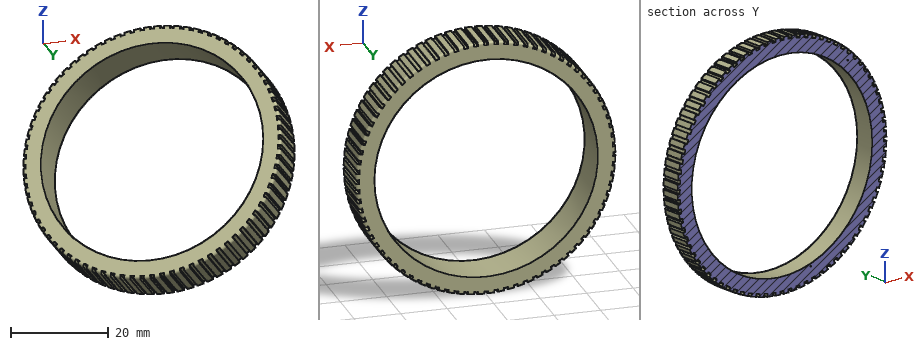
import cadquery as cq

outer_diameter = 55.85
root_diameter = 54.6
bore_diameter = 48.05
width = 9.65

tooth_count = 80
groove_width = 0.85
end_round = 0.5

outer_radius = outer_diameter / 2
root_radius = root_diameter / 2
bore_radius = bore_diameter / 2
tooth_height = outer_radius - root_radius
half_width = width / 2


def rim_blank():
    """Ring reaching the tooth tips, with both outer corners rounded over."""
    flat_radius = outer_radius - end_round
    flat_half_width = half_width - end_round
    profile = (
        cq.Workplane("XY")
        .moveTo(bore_radius, -half_width)
        .lineTo(flat_radius, -half_width)
        .radiusArc((outer_radius, -flat_half_width), -end_round)
        .lineTo(outer_radius, flat_half_width)
        .radiusArc((flat_radius, half_width), -end_round)
        .lineTo(bore_radius, half_width)
        .close()
    )
    return profile.revolve(360, (0, 0, 0), (0, 1, 0))


def groove_cutters():
    """Parallel-sided bars between the teeth, trimmed to the round root of the grooves."""
    bar_height = 3 * tooth_height
    bar_length = 2 * width
    end_plane = cq.Workplane("XZ", origin=(0, bar_length / 2, 0))
    bars = (
        end_plane
        .polarArray(outer_radius, 0, 360, tooth_count)
        .rect(bar_height, groove_width)
        .extrude(bar_length)
    )
    root_disc = end_plane.circle(root_radius).extrude(bar_length)
    return bars.cut(root_disc)


result = rim_blank().cut(groove_cutters())